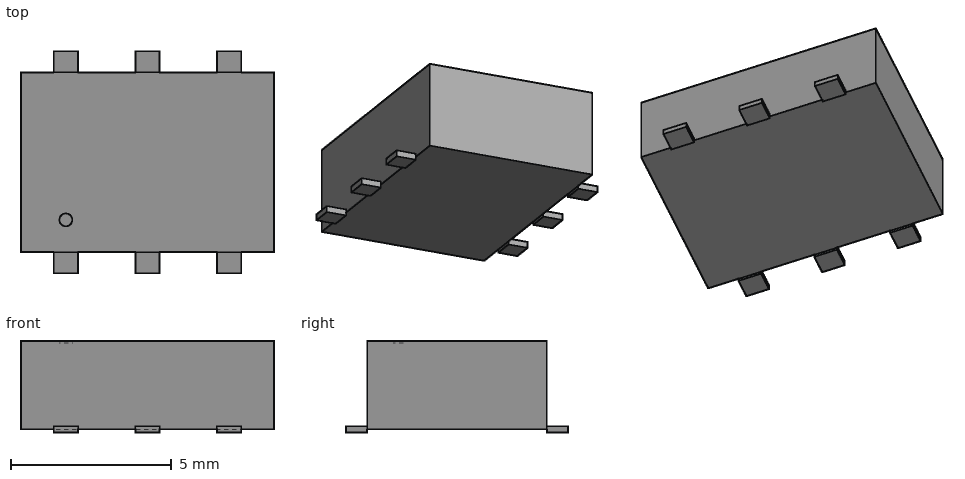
import cadquery as cq

package_length = 7.87
overall_width = 6.91
overall_height = 2.85

package_width = 5.59
standoff = 0.1

leads_per_side = 3
lead_pitch = 2.54
lead_width = 0.76
lead_thickness = 0.2
lead_length = (overall_width - package_width) / 2

marker_diameter = 0.4
marker_depth = 0.05
marker_x = -lead_pitch * (leads_per_side - 1) / 2
marker_y = -1.79


def make_marker():
    """Thin disc whose top is flush with the top of the package."""
    return (
        cq.Workplane("XY", origin=(marker_x, marker_y, overall_height - marker_depth))
        .circle(marker_diameter / 2)
        .extrude(marker_depth)
    )


def make_package(marker):
    """Plain block raised by the standoff, with a recess that fits the marker."""
    block = cq.Workplane("XY", origin=(0, 0, standoff)).box(
        package_length,
        package_width,
        overall_height - standoff,
        centered=(True, True, False),
    )
    return block.cut(marker)


def make_lead(x, side):
    """Flat lead butted against the long package wall on the given side (-1 or +1 in Y)."""
    y = side * (package_width + lead_length) / 2
    return cq.Workplane("XY", origin=(x, y, 0)).box(
        lead_width, lead_length, lead_thickness, centered=(True, True, False)
    )


marker = make_marker()
package = make_package(marker)

leads = []
for side in (-1, 1):
    for index in range(leads_per_side):
        lead_x = (index - (leads_per_side - 1) / 2) * lead_pitch
        leads.append(make_lead(lead_x, side))

result = cq.Compound.makeCompound(
    [package.val(), marker.val(), *[lead.val() for lead in leads]]
)